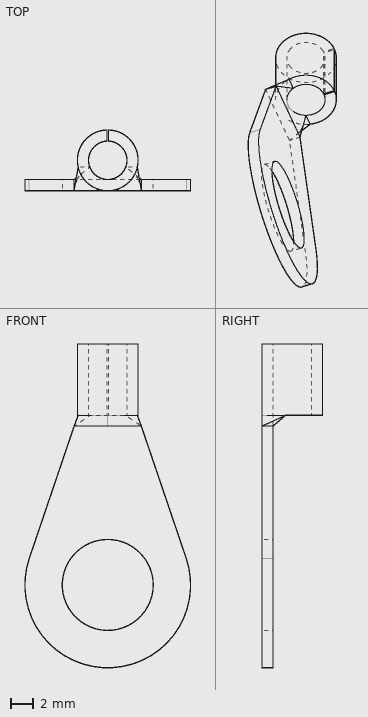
import cadquery as cq
import math

total_height = 29.3
ring_radius = 7.5
hole_diameter = 8.2
sheet_thickness = 1.03

barrel_radius = 2.75
barrel_length = 6.48
bore_radius = barrel_radius - sheet_thickness
slit_width = 0.12

neck_height = 0.97
neck_half_width = 3.05
neck_root_depth = 2.15

barrel_bottom = total_height - barrel_length
tongue_top = barrel_bottom - neck_height


def make_tongue():
    """Flat ring whose sides run tangentially up to the neck."""
    rise = tongue_top - ring_radius
    tangent_angle = math.atan2(rise, neck_half_width) - math.acos(
        ring_radius / math.hypot(rise, neck_half_width)
    )
    tangent_x = ring_radius * math.cos(tangent_angle)
    tangent_z = ring_radius + ring_radius * math.sin(tangent_angle)
    plate = (
        cq.Workplane("XZ")
        .moveTo(-neck_half_width, tongue_top)
        .lineTo(neck_half_width, tongue_top)
        .lineTo(tangent_x, tangent_z)
        .threePointArc((0, 0), (-tangent_x, tangent_z))
        .close()
        .extrude(-sheet_thickness)
    )
    hole = (
        cq.Workplane("XZ")
        .center(0, ring_radius)
        .circle(hole_diameter / 2)
        .extrude(-sheet_thickness)
    )
    return plate.cut(hole)


def make_barrel():
    """Rolled tube with a narrow seam along its back."""
    tube = (
        cq.Workplane("XY", origin=(0, barrel_radius, barrel_bottom))
        .circle(barrel_radius)
        .circle(bore_radius)
        .extrude(barrel_length)
    )
    seam = (
        cq.Workplane("XY", origin=(0, barrel_radius, barrel_bottom))
        .rect(slit_width, barrel_radius, centered=(True, False))
        .extrude(barrel_length)
    )
    return tube.cut(seam)


def make_neck():
    """Transition from the flat sheet section to the front part of the tube wall."""
    offset = barrel_radius - neck_root_depth
    outer_x = math.sqrt(barrel_radius**2 - offset**2)
    inner_x = math.sqrt(bore_radius**2 - offset**2)
    outer_half = math.asin(outer_x / barrel_radius) / 2
    inner_half = math.asin(inner_x / bore_radius) / 2
    outer_mid = (
        barrel_radius * math.sin(outer_half),
        barrel_radius - barrel_radius * math.cos(outer_half),
    )
    inner_mid = (
        bore_radius * math.sin(inner_half),
        barrel_radius - bore_radius * math.cos(inner_half),
    )
    half_neck = (
        cq.Workplane("XY", origin=(0, 0, tongue_top))
        .lineTo(neck_half_width, 0)
        .lineTo(neck_half_width, sheet_thickness)
        .lineTo(0, sheet_thickness)
        .close()
        .workplane(offset=neck_height)
        .moveTo(0, 0)
        .threePointArc(outer_mid, (outer_x, neck_root_depth))
        .lineTo(inner_x, neck_root_depth)
        .threePointArc(inner_mid, (0, sheet_thickness))
        .close()
        .loft(ruled=True)
    )
    return half_neck.union(half_neck.mirror("YZ"))


result = make_tongue().union(make_neck()).union(make_barrel())